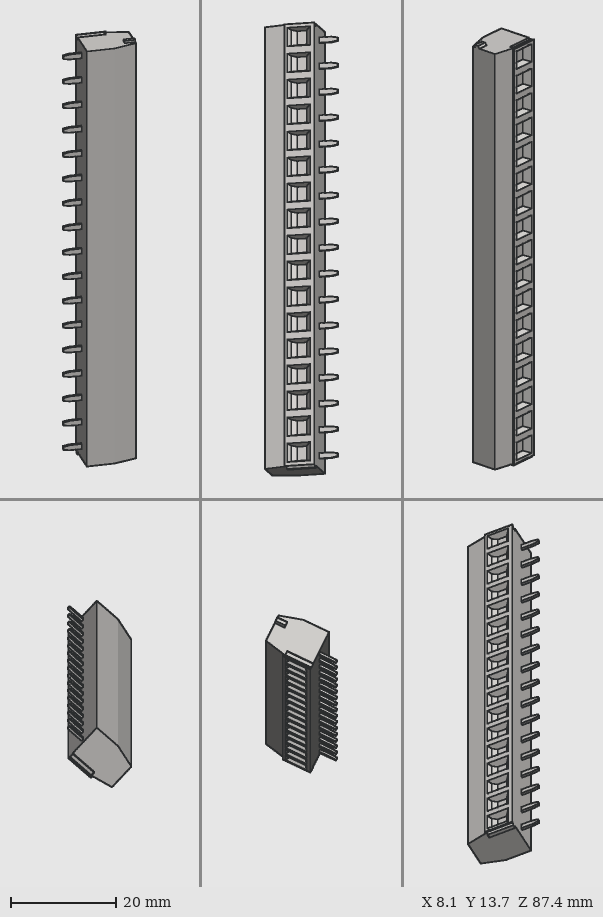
import cadquery as cq

pole_count = 17
overall_length = 87.4
body_width = 8.1
body_depth = 10.05
pin_length = 3.6

back_left = 1.3
back_right = 6.8
ledge = 0.4
left_slope_depth = 4.2
right_slope_depth = 4.6

rail_height = 0.48
rail_left = 0.3
rail_slope = 0.3
rail_right = 1.3
rail_depth = 5.5
tab_height = 0.48
tab_left = 5.15
tab_right = 6.3
tab_slope = 0.35
tab_depth = 2.1

mouth_front = 0.8
mouth_depth_y = 4.45
mouth_height = 3.7
front_inset = 1.05
side_inset = 0.48
lip_inset = 0.5
lip_depth = 0.8
ramp_run = 1.05
floor_depth = 1.3

pin_thickness = 0.5
pin_width = 1.05
tip_width = 0.6
tip_length = 1.2

body_length = overall_length - rail_height - tab_height
pitch = body_length / pole_count
pole_heights = [(i + 0.5) * pitch for i in range(pole_count)]


def housing():
    """Constant cross-section, front face on Y = 0 and bottom end on Z = 0."""
    left_step = body_depth - left_slope_depth
    outline = [
        (0, 0),
        (body_width, 0),
        (body_width, body_depth - right_slope_depth),
        (back_right, body_depth),
        (back_left, body_depth),
        (ledge, left_step),
        (0, left_step),
    ]
    return cq.Workplane("XY").polyline(outline).close().extrude(body_length)


def front_rail(top):
    """Rail with one sloping side, hanging below the given height; also cuts its groove."""
    bottom = top - rail_height
    outline = [
        (rail_left, top),
        (rail_right, top),
        (rail_right, bottom),
        (rail_left + rail_slope, bottom),
    ]
    return cq.Workplane("XZ").polyline(outline).close().extrude(-rail_depth)


def back_tab():
    """Locating tab on the upper end, flush with the back face."""
    top = body_length + tab_height
    outline = [
        (tab_left, body_length),
        (tab_right, body_length),
        (tab_right, top),
        (tab_left + tab_slope, top),
    ]
    tab = cq.Workplane("XZ", origin=(0, body_depth, 0)).polyline(outline).close()
    return tab.extrude(tab_depth)


def wire_entry(height):
    """Cutter for one opening that tapers from all four sides to a flat floor."""
    mouth_back = mouth_front + mouth_depth_y
    ramp_start = mouth_back - lip_inset
    side_profile = [
        (0, mouth_front),
        (floor_depth, mouth_front + front_inset),
        (floor_depth, ramp_start - ramp_run),
        (lip_depth, ramp_start),
        (0, mouth_back),
    ]
    mouth_bottom = height - mouth_height / 2
    mouth_top = height + mouth_height / 2
    end_profile = [
        (0, mouth_bottom),
        (floor_depth, mouth_bottom + side_inset),
        (floor_depth, mouth_top - side_inset),
        (0, mouth_top),
    ]
    along_z = cq.Workplane("XY", origin=(0, 0, mouth_bottom)).polyline(side_profile).close()
    along_y = cq.Workplane("XZ", origin=(0, mouth_front, 0)).polyline(end_profile).close()
    return along_z.extrude(mouth_height).intersect(along_y.extrude(-mouth_depth_y))


def solder_pin(height):
    """Flat pin with a tapered tip, pointing towards -Y."""
    shoulder = tip_length - pin_length
    outline = [
        (0, height - pin_width / 2),
        (shoulder, height - pin_width / 2),
        (-pin_length, height - tip_width / 2),
        (-pin_length, height + tip_width / 2),
        (shoulder, height + pin_width / 2),
        (0, height + pin_width / 2),
    ]
    middle = cq.Workplane("YZ", origin=(body_width / 2, 0, 0))
    return middle.polyline(outline).close().extrude(pin_thickness / 2, both=True)


result = housing().union(front_rail(0)).union(back_tab()).cut(front_rail(body_length))
for pole_height in pole_heights:
    result = result.cut(wire_entry(pole_height)).union(solder_pin(pole_height))